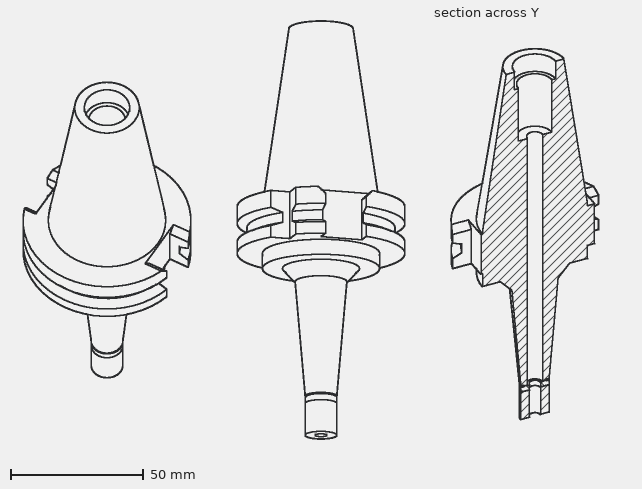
import cadquery as cq

total_length = 158.4
taper_length = 68.5
nose_z = taper_length - total_length

taper_ratio = 7 / 24
gauge_radius = 22.2
taper_tip_radius = gauge_radius - taper_length * taper_ratio / 2
pilot_radius = 8.5
pilot_depth = 7.9
thread_radius = 7.0
thread_depth = 31.7
bore_radius = 3.2

flange_diameter = 63.5
flange_radius = flange_diameter / 2
flange_top_z = -1.0
flange_bottom_z = -19.2
groove_z = -11.1
groove_floor_radius = 28.0
groove_floor_width = 3.8
groove_mouth_width = 7.1

slot_width = 16.2
slot_chamfer = 2.7
slot_floor_left = 25.0
slot_floor_right = 22.8
notch_offset = 18.4

collar_radius = gauge_radius
collar_bottom_z = -25.0
shoulder_radius = 14.5
shank_top_z = -30.3
shank_top_radius = 9.8

nose_radius = 6.0
nose_bore_radius = 2.2
gap_height = 0.5
neck_radius = 4.8
nut_length = 12.4
ring_height = 2.4
nut_top_z = nose_z + nut_length
ring_top_z = nut_top_z + ring_height
shank_end_z = ring_top_z + gap_height


def cylinder(radius, bottom_z, top_z):
    """Solid cylinder on the Z axis."""
    return cq.Workplane("XY").workplane(offset=bottom_z).circle(radius).extrude(top_z - bottom_z)


def holder_blank():
    """Revolved taper, flange, collar and shank, without holes or slots."""
    groove_floor_half = groove_floor_width / 2
    groove_mouth_half = groove_mouth_width / 2
    outline = [
        (0, taper_length),
        (taper_tip_radius, taper_length),
        (gauge_radius, 0),
        (gauge_radius, flange_top_z),
        (flange_radius, flange_top_z),
        (flange_radius, groove_z + groove_mouth_half),
        (groove_floor_radius, groove_z + groove_floor_half),
        (groove_floor_radius, groove_z - groove_floor_half),
        (flange_radius, groove_z - groove_mouth_half),
        (flange_radius, flange_bottom_z),
        (collar_radius, flange_bottom_z),
        (collar_radius, collar_bottom_z),
        (shoulder_radius, collar_bottom_z),
        (shank_top_radius, shank_top_z),
        (nose_radius, shank_end_z),
        (neck_radius, shank_end_z),
        (neck_radius, ring_top_z),
        (0, ring_top_z),
    ]
    return cq.Workplane("XZ").polyline(outline).close().revolve(360, (0, 0), (0, 1))


def drawbar_hole():
    """Stepped hole from the small end of the taper, with a bore right through the shank."""
    pilot = cylinder(pilot_radius, taper_length - pilot_depth, taper_length)
    thread = cylinder(thread_radius, taper_length - thread_depth, taper_length)
    bore = cylinder(bore_radius, ring_top_z, taper_length)
    return pilot.union(thread).union(bore)


def drive_slot(side, floor_distance):
    """Cutter for a slot through the flange rim, chamfered along its top edges; side is -1 or +1 in X."""
    half_width = slot_width / 2
    half_mouth = half_width + slot_chamfer
    chamfer_bottom_z = flange_top_z - slot_chamfer
    outline = [
        (-half_mouth, flange_top_z),
        (-half_width, chamfer_bottom_z),
        (-half_width, flange_bottom_z),
        (half_width, flange_bottom_z),
        (half_width, chamfer_bottom_z),
        (half_mouth, flange_top_z),
    ]
    cutter = cq.Workplane("YZ").workplane(offset=side * floor_distance).polyline(outline).close()
    return cutter.extrude(side * flange_radius)


def orientation_notch():
    """Square-cornered cutter at the -X +Y edge of the flange."""
    height = flange_top_z - flange_bottom_z
    notch = cq.Workplane("XY").box(flange_radius, flange_radius, height, centered=False)
    return notch.translate((-notch_offset - flange_radius, notch_offset, flange_bottom_z))


def make_holder():
    holder = holder_blank().cut(drawbar_hole())
    for side, floor_distance in ((-1, slot_floor_left), (1, slot_floor_right)):
        holder = holder.cut(drive_slot(side, floor_distance))
    return holder.cut(orientation_notch())


def make_nose_sleeve(bottom_z, top_z):
    """Bored cylinder as wide as the end of the shank."""
    return cylinder(nose_radius, bottom_z, top_z).cut(cylinder(nose_bore_radius, bottom_z, top_z))


holder = make_holder()
ring = make_nose_sleeve(nut_top_z, ring_top_z)
nut = make_nose_sleeve(nose_z, nut_top_z)

result = cq.Compound.makeCompound([holder.val(), ring.val(), nut.val()])